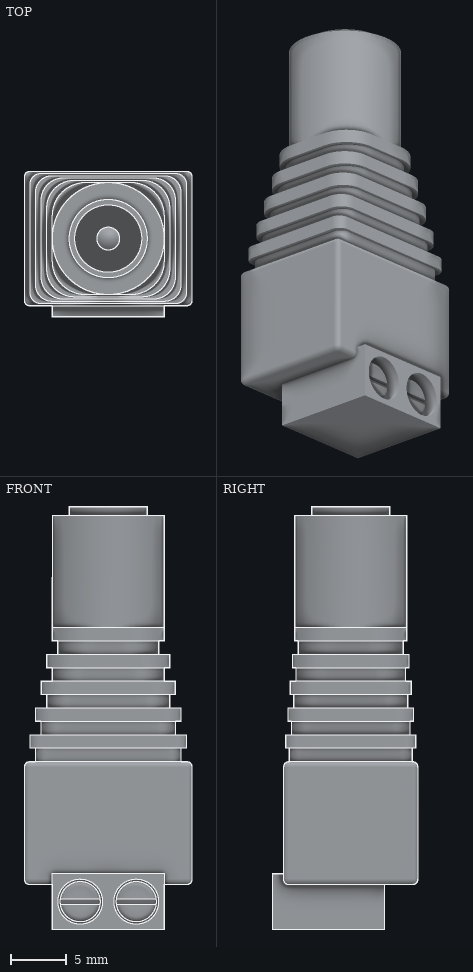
import cadquery as cq

total_height = 37.8
body_bottom = 4.0
body_top = 15.0
boot_top = 27.0
barrel_top = 37.0

body_width = 15.0
body_depth = 12.02
body_fillet = 0.5

tier_count = 5
neck_inset_x = 0.5
neck_inset_y = 0.3
lowest_corner_radius = 1.0
highest_corner_radius = 3.0

barrel_diameter = 10.0
nose_diameter = 7.0
socket_diameter = 6.0
socket_depth = 9.45
pin_diameter = 2.05
pin_recess = 1.0

block_width = 10.0
block_depth = 10.0
block_height = 5.0
block_front = -7.0

screw_spacing = block_width / 2
screw_hole_diameter = 4.0
screw_head_recess = 1.0
screw_head_diameter = 3.6
screw_head_height = 0.6
screw_edge_radius = 0.4
screw_slot_width = 0.5
screw_slot_depth = 0.5


def between(start, end, fraction):
    return start + (end - start) * fraction


def rounded_slab(width, depth, corner_radius, bottom, height):
    slab = cq.Workplane("XY").workplane(offset=bottom).rect(width, depth).extrude(height)
    return slab.edges("|Z").fillet(corner_radius)


def cylinder(diameter, bottom, top):
    return cq.Workplane("XY").workplane(offset=bottom).circle(diameter / 2).extrude(top - bottom)


def housing():
    box = cq.Workplane("XY").workplane(offset=body_bottom).rect(body_width, body_depth)
    return box.extrude(body_top - body_bottom).edges().fillet(body_fillet)


def boot():
    """Tiers taper from the housing outline to the barrel diameter while their corners get rounder."""
    layer_height = (boot_top - body_top) / (2 * tier_count)
    stack = cq.Workplane("XY")
    for tier in range(tier_count):
        taper = (tier + 1) / tier_count
        rib_width = between(body_width, barrel_diameter, taper)
        rib_depth = between(body_depth, barrel_diameter, taper)
        corner_radius = between(lowest_corner_radius, highest_corner_radius, tier / (tier_count - 1))
        neck_width = rib_width - 2 * neck_inset_x
        neck_depth = rib_depth - 2 * neck_inset_y
        neck_bottom = body_top + 2 * tier * layer_height
        rib_bottom = neck_bottom + layer_height
        stack = stack.union(rounded_slab(neck_width, neck_depth, corner_radius, neck_bottom, layer_height))
        stack = stack.union(rounded_slab(rib_width, rib_depth, corner_radius, rib_bottom, layer_height))
    return stack


def barrel():
    socket_floor = total_height - socket_depth
    pin_radius = pin_diameter / 2
    pin_shoulder = total_height - pin_recess - pin_radius
    outer = cylinder(barrel_diameter, boot_top, barrel_top)
    nose = cylinder(nose_diameter, barrel_top, total_height)
    socket = cylinder(socket_diameter, socket_floor, total_height)
    pin = cylinder(pin_diameter, socket_floor, pin_shoulder)
    pin_tip = cq.Workplane("XY").sphere(pin_radius).translate((0, 0, pin_shoulder))
    return outer.union(nose).cut(socket).union(pin).union(pin_tip)


def terminal_block():
    box = cq.Workplane("XY").box(block_width, block_depth, block_height, centered=(True, False, False))
    return box.translate((0, block_front, 0))


def screw_recess(x):
    """Space in front of one screw: the open hole around its rounded head and the driver slot."""
    head_top = block_front + screw_head_recess
    well_depth = screw_head_recess + screw_head_height
    well_face = cq.Workplane("XZ", origin=(x, block_front, block_height / 2))
    head_face = cq.Workplane("XZ", origin=(x, head_top, block_height / 2))
    well = well_face.circle(screw_hole_diameter / 2).extrude(-well_depth)
    head = head_face.circle(screw_head_diameter / 2).extrude(-screw_head_height)
    head = head.faces("<Y").edges().fillet(screw_edge_radius)
    slot = head_face.rect(screw_head_diameter, screw_slot_width).extrude(-screw_slot_depth)
    return well.cut(head.cut(slot))


result = housing().union(boot()).union(barrel()).union(terminal_block())
for side in (-1, 1):
    result = result.cut(screw_recess(side * screw_spacing / 2))